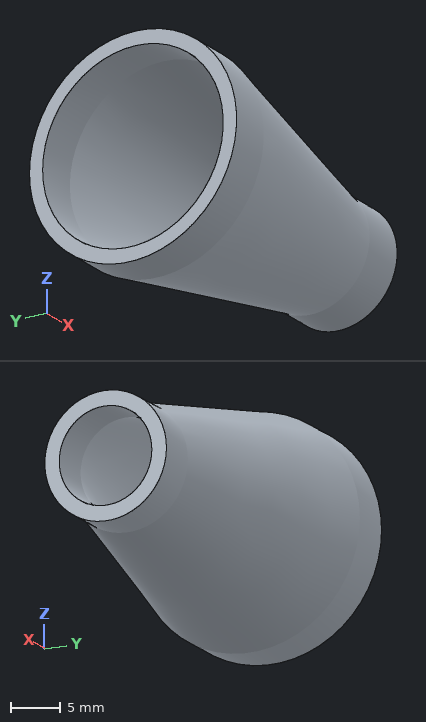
import cadquery as cq

length = 38.0
collar_length = 5.0
wide_outer_diameter = 25.4
wide_bore_diameter = 22.1
narrow_outer_diameter = 13.8
narrow_bore_diameter = 10.5


def stepped_taper(wide_diameter, narrow_diameter):
    """Solid of revolution about X: cylinder, cone, cylinder."""
    wide_radius = wide_diameter / 2
    narrow_radius = narrow_diameter / 2
    profile = (
        cq.Workplane("XY")
        .moveTo(0, 0)
        .lineTo(0, wide_radius)
        .lineTo(collar_length, wide_radius)
        .lineTo(length - collar_length, narrow_radius)
        .lineTo(length, narrow_radius)
        .lineTo(length, 0)
        .close()
    )
    return profile.revolve(360, (0, 0, 0), (1, 0, 0))


outer_body = stepped_taper(wide_outer_diameter, narrow_outer_diameter)
bore = stepped_taper(wide_bore_diameter, narrow_bore_diameter)

result = outer_body.cut(bore)